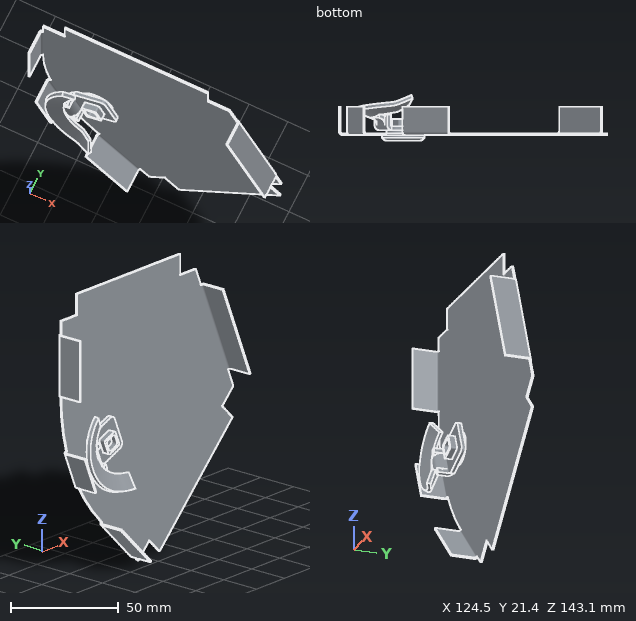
import cadquery as cq
import math

ELBOW_ANGLE = 45.0
AXIS_ANGLE = ELBOW_ANGLE / 2

SHEET = 0.8
OUTER_RADIUS = 96.9
LEG_WIDTH = 96.15
THROAT_LENGTH = 70.0
TAB_HEIGHT = 10.4
TAB_WIDTH = 73.8
TAB_INSET = 11.2

BEND_RADIUS = 1.6
FLANGE_DEPTH = 13.2
FLANGE_ROOT = 1.0
LEG_FLANGE_LENGTH = 30.0
LEG_FLANGE_GAP = 0.9
ARC_FLANGE_LENGTH = 20.0
THROAT_FLANGE_LENGTH = 50.5

PIN_DISTANCE = 74.3
HEAD_RADIUS = 9.9
HEAD_FLAT_RADIUS = 7.3
HEAD_HEIGHT = 2.7
HEAD_RIM = 1.2
COLLAR_RADIUS = 7.85
SHANK_SIDE = 8.3
SHANK_CORNER = 1.0
SHANK_END = 7.5
SOCKET_SIDE = 6.2
SOCKET_CORNER = 1.5

LATCH_THICKNESS = 2.0
BASE_BACK = 2.2
BASE_FRONT = BASE_BACK + LATCH_THICKNESS
BASE_SIDE = 18.2
BASE_CORNER = 2.5
NECK_WIDTH = 15.4
NECK_OUTSIDE = 11.3
NECK_BEND_INSIDE = 0.5
NECK_TOP = 9.5
FLARE_WIDTH = 10.0
FLARE_BEND = 3.0
FLARE_BEND_DEPTH = 4.9
FLARE_REACH = 14.0

FINGER_INNER = 13.3
FINGER_OUTER = 21.3
FINGER_RISE = 3.0
FINGER_START = -73.3
TIP_BEND_START = 53.0
TIP_BEND_END = 63.0
FINGER_END = 77.7
FINGER_BACK_END = 79.4
RIM_AT_AXIS = 13.5
RAMP_SLOPE = 0.036
TIP_SLOPE = 0.156
RIM_POINTS = 24

throat_tilt = math.radians(AXIS_ANGLE)
throat_offset = LEG_WIDTH - OUTER_RADIUS
leg_length = (THROAT_LENGTH / 2 + throat_offset * math.sin(throat_tilt)) / math.cos(throat_tilt)


def mirrored(point):
    """Reflects an (X, Z) point across the elbow's symmetry line."""
    c = math.cos(2 * throat_tilt)
    s = math.sin(2 * throat_tilt)
    x, z = point
    return (x * c + z * s, x * s - z * c)


def turned(body, angle):
    """Turns a body about the Y axis, counter-clockwise as seen from the front."""
    return body.rotate((0, 0, 0), (0, 1, 0), -angle)


def on_axis(body, distance):
    """Carries a body from its own frame to a place on the symmetry line."""
    return turned(body.translate((distance, 0, 0)), AXIS_ANGLE)


def sheet_blank():
    tab_left = TAB_INSET - OUTER_RADIUS
    tab_right = tab_left + TAB_WIDTH
    tab_top = leg_length + TAB_HEIGHT
    leg = [
        (-OUTER_RADIUS, 0),
        (-OUTER_RADIUS, leg_length),
        (tab_left, leg_length),
        (tab_left, tab_top),
        (tab_right, tab_top),
        (tab_right, leg_length),
        (throat_offset, leg_length),
    ]
    other_leg = [mirrored(point) for point in reversed(leg)]
    arc_middle = (-OUTER_RADIUS * math.cos(throat_tilt), -OUTER_RADIUS * math.sin(throat_tilt))
    outline = cq.Workplane("XZ").polyline(leg + other_leg).threePointArc(arc_middle, leg[0]).close()
    return outline.extrude(SHEET)


def flange(length):
    """A flange bent forward at the -X side of a sheet edge lying on the Z axis, centred on Z = 0."""
    inside = BEND_RADIUS - SHEET
    diagonal = math.sqrt(0.5)
    profile = (
        cq.Workplane("XY")
        .moveTo(FLANGE_ROOT, 0)
        .lineTo(0, 0)
        .threePointArc((-BEND_RADIUS * diagonal, BEND_RADIUS * (diagonal - 1)), (-BEND_RADIUS, -BEND_RADIUS))
        .lineTo(-BEND_RADIUS, -FLANGE_DEPTH)
        .lineTo(-inside, -FLANGE_DEPTH)
        .lineTo(-inside, -BEND_RADIUS)
        .threePointArc((-inside * diagonal, inside * diagonal - BEND_RADIUS), (0, -SHEET))
        .lineTo(FLANGE_ROOT, -SHEET)
        .close()
    )
    return profile.extrude(length / 2, both=True)


def make_elbow():
    leg_flange_middle = LEG_FLANGE_GAP + LEG_FLANGE_LENGTH / 2
    leg_flange = flange(LEG_FLANGE_LENGTH)
    upper = leg_flange.translate((-OUTER_RADIUS, 0, leg_flange_middle))
    lower = turned(leg_flange.translate((-OUTER_RADIUS, 0, -leg_flange_middle)), ELBOW_ANGLE)
    middle = on_axis(flange(ARC_FLANGE_LENGTH), -OUTER_RADIUS)
    throat_distance = throat_offset * math.cos(throat_tilt) + leg_length * math.sin(throat_tilt)
    throat = on_axis(turned(flange(THROAT_FLANGE_LENGTH), 180), throat_distance)
    pin_hole = on_axis(cq.Workplane("XZ").circle(COLLAR_RADIUS).extrude(SHEET), -PIN_DISTANCE)
    elbow = sheet_blank()
    for part in (upper, lower, middle, throat):
        elbow = elbow.union(part)
    return elbow.cut(pin_hole)


def rounded_square(side, corner, back, front):
    """A square block about the Y axis between two depths in front of the sheet's back face."""
    block = cq.Workplane("XZ", origin=(0, -back, 0)).rect(side, side).extrude(front - back)
    return block.edges("|Y").fillet(corner)


def make_pin():
    dome_height = HEAD_HEIGHT - HEAD_RIM
    dome_run = HEAD_RADIUS - HEAD_FLAT_RADIUS
    dome_radius = (dome_run**2 + dome_height**2) / (2 * dome_height)
    half_sweep = math.asin(dome_run / dome_radius) / 2
    dome_middle = (
        HEAD_FLAT_RADIUS + dome_radius * math.sin(half_sweep),
        HEAD_HEIGHT - dome_radius * (1 - math.cos(half_sweep)),
    )
    round_part = (
        cq.Workplane("XY")
        .moveTo(0, -BASE_BACK)
        .lineTo(COLLAR_RADIUS, -BASE_BACK)
        .lineTo(COLLAR_RADIUS, 0)
        .lineTo(HEAD_RADIUS, 0)
        .lineTo(HEAD_RADIUS, HEAD_RIM)
        .threePointArc(dome_middle, (HEAD_FLAT_RADIUS, HEAD_HEIGHT))
        .lineTo(0, HEAD_HEIGHT)
        .close()
        .revolve(360, (0, 0, 0), (0, 1, 0))
    )
    shank = rounded_square(SHANK_SIDE, SHANK_CORNER, BASE_BACK, SHANK_END)
    socket = rounded_square(SOCKET_SIDE, SOCKET_CORNER, BASE_FRONT, SHANK_END)
    return on_axis(round_part.union(shank).cut(socket), -PIN_DISTANCE)


def rim_depth(angle):
    """How far the front of the finger's outer rim stands in front of the sheet's back face."""
    depth = RIM_AT_AXIS + RAMP_SLOPE * angle
    extra_slope = TIP_SLOPE - RAMP_SLOPE
    bend = TIP_BEND_END - TIP_BEND_START
    into_bend = min(max(angle - TIP_BEND_START, 0), bend)
    past_bend = max(angle - TIP_BEND_END, 0)
    return depth + extra_slope * (into_bend**2 / (2 * bend) + past_bend)


def finger_rim(radius, set_back, start, end):
    """A curve along the finger between two angles, set back from the front of the outer rim."""

    def point(t):
        angle = start + (end - start) * t
        turn = math.radians(angle)
        return (-radius * math.cos(turn), set_back - rim_depth(angle), -radius * math.sin(turn))

    return cq.Workplane("XY").parametricCurve(point, N=RIM_POINTS, makeWire=False).val()


def latch_finger():
    """The finger, ruled between its four rims along the ramp, the tip bend and the tip."""
    tilt = math.atan(FINGER_RISE / (FINGER_OUTER - FINGER_INNER))
    back_y = LATCH_THICKNESS * math.cos(tilt)
    back_out = LATCH_THICKNESS * math.sin(tilt)
    front_angles = [FINGER_START, TIP_BEND_START, TIP_BEND_END, FINGER_END]
    back_angles = [FINGER_START, TIP_BEND_START, TIP_BEND_END, FINGER_BACK_END]
    rims = [
        (FINGER_OUTER, 0, front_angles),
        (FINGER_OUTER + back_out, back_y, back_angles),
        (FINGER_INNER + back_out, FINGER_RISE + back_y, back_angles),
        (FINGER_INNER, FINGER_RISE, front_angles),
    ]
    stretches = []
    for i in range(len(front_angles) - 1):
        stretches.append([finger_rim(r, back, angles[i], angles[i + 1]) for r, back, angles in rims])

    faces = []
    for edges in stretches:
        for i in range(len(edges)):
            faces.append(cq.Face.makeRuledSurface(edges[i - 1], edges[i]))
    for edges, place in ((stretches[0], 0), (stretches[-1], 1)):
        corners = [edge.positionAt(place) for edge in edges]
        front_line = cq.Edge.makeLine(corners[0], corners[3])
        back_line = cq.Edge.makeLine(corners[1], corners[2])
        faces.append(cq.Face.makeRuledSurface(front_line, back_line))
    return cq.Workplane(cq.Solid.makeSolid(cq.Shell.makeShell(faces)))


def latch_neck():
    """The wall bent forward from the base, and the flare that leads from it into the finger."""
    outside = NECK_BEND_INSIDE + LATCH_THICKNESS
    diagonal = math.sqrt(0.5)
    centre_x = outside - NECK_OUTSIDE
    centre_y = -BASE_BACK - outside
    wall = (
        cq.Workplane("XY")
        .moveTo(centre_x + BASE_CORNER, -BASE_BACK)
        .lineTo(centre_x, -BASE_BACK)
        .threePointArc(
            (centre_x - outside * diagonal, centre_y + outside * diagonal),
            (-NECK_OUTSIDE, centre_y),
        )
        .lineTo(-NECK_OUTSIDE, -NECK_TOP)
        .lineTo(LATCH_THICKNESS - NECK_OUTSIDE, -NECK_TOP)
        .lineTo(LATCH_THICKNESS - NECK_OUTSIDE, centre_y)
        .threePointArc(
            (centre_x - NECK_BEND_INSIDE * diagonal, centre_y + NECK_BEND_INSIDE * diagonal),
            (centre_x, -BASE_FRONT),
        )
        .lineTo(centre_x + BASE_CORNER, -BASE_FRONT)
        .close()
        .extrude(NECK_WIDTH / 2, both=True)
    )
    tilt = math.atan(FINGER_RISE / (FINGER_OUTER - FINGER_INNER))
    bend_end = math.pi / 2 - tilt
    flare_centre_x = -NECK_OUTSIDE - FLARE_BEND
    front_bend = FLARE_BEND + LATCH_THICKNESS

    def on_bend(radius, angle):
        return (flare_centre_x + radius * math.cos(angle), -FLARE_BEND_DEPTH - radius * math.sin(angle))

    def at_reach(radius):
        x, y = on_bend(radius, bend_end)
        return (-FLARE_REACH, y - (x + FLARE_REACH) * math.tan(tilt))

    flare = (
        cq.Workplane("XY")
        .moveTo(-NECK_OUTSIDE, centre_y)
        .lineTo(*on_bend(FLARE_BEND, 0))
        .threePointArc(on_bend(FLARE_BEND, bend_end / 2), on_bend(FLARE_BEND, bend_end))
        .lineTo(*at_reach(FLARE_BEND))
        .lineTo(*at_reach(front_bend))
        .lineTo(*on_bend(front_bend, bend_end))
        .threePointArc(on_bend(front_bend, bend_end / 2), on_bend(front_bend, 0))
        .lineTo(LATCH_THICKNESS - NECK_OUTSIDE, centre_y)
        .close()
        .extrude(FLARE_WIDTH / 2, both=True)
    )
    window_height = NECK_TOP + centre_y
    window = cq.Workplane("XY").box(LATCH_THICKNESS, window_height, FLARE_WIDTH)
    window = window.translate((LATCH_THICKNESS / 2 - NECK_OUTSIDE, centre_y - window_height / 2, 0))
    return wall.cut(window).union(flare)


def make_latch():
    base = rounded_square(BASE_SIDE, BASE_CORNER, BASE_BACK, BASE_FRONT)
    latch = base.union(latch_neck()).union(latch_finger())
    shank_hole = rounded_square(SHANK_SIDE, SHANK_CORNER, BASE_BACK, BASE_FRONT)
    return on_axis(latch.cut(shank_hole), -PIN_DISTANCE)


elbow = make_elbow()
pin = make_pin()
latch = make_latch()
result = cq.Compound.makeCompound([elbow.solids().val(), pin.solids().val(), latch.solids().val()])